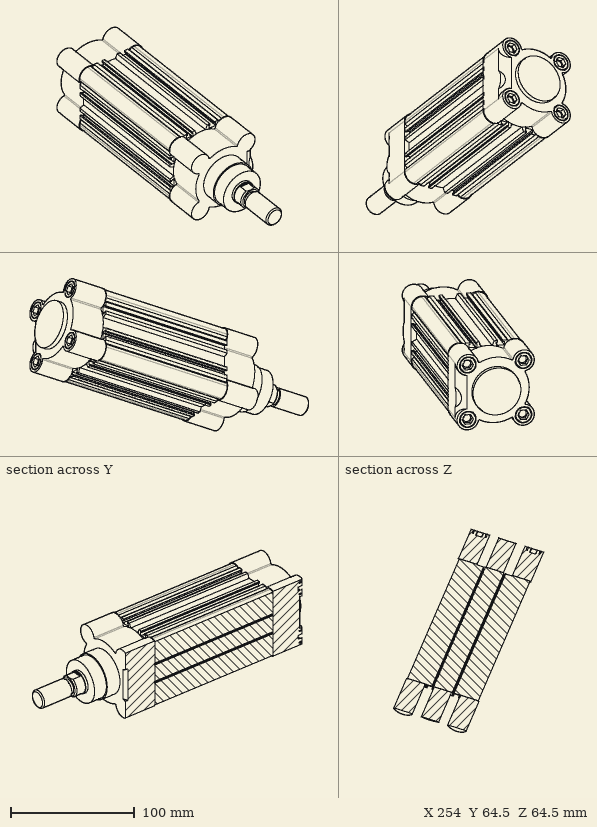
import cadquery as cq
import math

total_length = 254.0
spigot_length = 4.0
cap_length = 30.0
barrel_length = 121.0
barrel_start = spigot_length + cap_length
barrel_end = barrel_start + barrel_length
front_face = barrel_end + cap_length
middle_x = (barrel_start + barrel_end) / 2

corner_offset = 23.25
lobe_radius = 9.0
cap_half_width = corner_offset + lobe_radius
cap_radius = 28.0
lobe_blend_radius = 0.8
spigot_radius = 20.0

guide_length = 13.0
guide_nose_length = 12.0
guide_nose_radius = 18.75
nose_end = front_face + guide_length + guide_nose_length

pad_low_y = 24.0
pad_slope_length = 6.5
port_radius = 12.0
port_from_end = cap_length / 2
port_z = -5.7
port_root = 1.0

ring_outer_radius = 6.9
ring_inner_radius = 6.4
ring_depth = 3.0
socket_flats = 8.0
socket_depth = 4.0
drill_cone_radius = 3.2
drill_cone_depth = 2.0

barrel_half_width = 31.5
barrel_radius = 28.0
barrel_corner_start = 23.5
slot_floor = 27.4
slot_relief_floor = 26.4
slot_relief_edge = 9.3
lip_thickness = 1.4
lip_underside = barrel_half_width - lip_thickness
rib_root = 4.6
rib_edge = 6.3
slot_inner_wall = 8.2
slot_inner_lip = 9.1
slot_outer_lip = 13.7
slot_outer_wall = 14.8
groove_inner = 17.2
groove_bottom = 19.1
groove_outer = 21.1
groove_depth = 1.9

rod_radius = 10.0
shoulder_length = 2.2
flats_setback = 1.3
rod_shoulder = nose_end + shoulder_length
neck_end = 222.0
neck_radius = 9.4
neck_chamfer = 1.2
flats_across = 17.0
flats_start = rod_shoulder + flats_setback
undercut_end = 225.0
undercut_radius = 6.6
thread_radius = 8.0
thread_chamfer = 1.2


def disc(radius, start, length):
    """Cylinder along X."""
    return cq.Workplane("YZ", origin=(start, 0, 0)).circle(radius).extrude(length)


def corners():
    return [(y, z) for y in (-corner_offset, corner_offset) for z in (-corner_offset, corner_offset)]


def make_lobe(y, z):
    return disc(lobe_radius, spigot_length, cap_length).translate((0, y, z))


def make_port_side(cap):
    """Replace the +Y side of a cap by the sloped pad and its port boss."""
    trim_width = 2 * corner_offset
    trim = cq.Workplane("XY").box(
        cap_length, cap_half_width, trim_width, centered=(False, False, True)
    ).translate((spigot_length, pad_low_y, 0))
    pad = (
        cq.Workplane("XY", origin=(0, 0, -corner_offset))
        .moveTo(spigot_length, pad_low_y)
        .lineTo(spigot_length + pad_slope_length, cap_half_width)
        .lineTo(barrel_start, cap_half_width)
        .lineTo(barrel_start, pad_low_y)
        .close()
        .extrude(trim_width)
    )
    boss = (
        cq.Workplane("XZ", origin=(spigot_length + port_from_end, cap_half_width, port_z))
        .circle(port_radius)
        .extrude(cap_half_width - pad_low_y + port_root)
    )
    cap = cap.cut(trim).union(pad).union(boss)
    for z in (-corner_offset, corner_offset):
        cap = cap.union(make_lobe(corner_offset, z))
    return cap


def make_cap_body():
    """Rear-end cap body: disc, four lobes with blended valleys, and the port side."""
    cap = disc(cap_radius, spigot_length, cap_length)
    for y, z in corners():
        cap = cap.union(make_lobe(y, z))
    lobe_distance = math.hypot(corner_offset, corner_offset)
    along = (lobe_distance**2 + cap_radius**2 - lobe_radius**2) / (2 * lobe_distance)
    across = math.sqrt(cap_radius**2 - along**2)
    near = (along - across) / math.sqrt(2)
    far = (along + across) / math.sqrt(2)
    middle = spigot_length + cap_length / 2
    for sy in (-1, 1):
        for sz in (-1, 1):
            for y, z in ((near, far), (far, near)):
                point = (middle, sy * y, sz * z)
                cap = cap.edges(cq.selectors.NearestToPointSelector(point)).fillet(lobe_blend_radius)
    return make_port_side(cap)


def make_screw_recess(y, z):
    """Ring around the screw head, hexagon socket and its drill cone."""
    face = cq.Workplane("YZ", origin=(spigot_length, y, z))
    ring = face.circle(ring_outer_radius).circle(ring_inner_radius).extrude(ring_depth)
    socket = face.polygon(6, socket_flats / math.cos(math.pi / 6)).extrude(socket_depth)
    cone = cq.Workplane(cq.Solid.makeCone(
        drill_cone_radius, 0, drill_cone_depth,
        cq.Vector(spigot_length + socket_depth, y, z), cq.Vector(1, 0, 0),
    ))
    return socket.union(cone), ring


def make_rear_cap():
    cap = make_cap_body().union(disc(spigot_radius, 0, barrel_start))
    for y, z in corners():
        for recess in make_screw_recess(y, z):
            cap = cap.cut(recess)
    return cap


def make_front_cap():
    """Mirrored cap body with the rod guide and the bore for the rod."""
    cap = make_cap_body().mirror("YZ", (middle_x, 0, 0))
    cap = cap.union(disc(spigot_radius, barrel_end, cap_length + guide_length))
    cap = cap.union(disc(guide_nose_radius, barrel_end, nose_end - barrel_end))
    return cap.cut(disc(rod_radius, barrel_end, nose_end - barrel_end))


def make_barrel():
    rib_root_out = math.sqrt(barrel_radius**2 - rib_root**2)
    half_side = [
        (rib_root, rib_root_out),
        (rib_edge, barrel_half_width),
        (slot_inner_lip, barrel_half_width),
        (slot_inner_lip, lip_underside),
        (slot_inner_wall, lip_underside),
        (slot_inner_wall, slot_relief_floor),
        (slot_relief_edge, slot_relief_floor),
        (slot_relief_edge, slot_floor),
        (slot_outer_wall, slot_floor),
        (slot_outer_wall, lip_underside),
        (slot_outer_lip, lip_underside),
        (slot_outer_lip, barrel_half_width),
        (groove_inner, barrel_half_width),
        (groove_bottom, barrel_half_width - groove_depth),
        (groove_outer, barrel_half_width),
        (barrel_corner_start, barrel_half_width),
    ]
    corner_radius = barrel_half_width - barrel_corner_start
    corner_middle = barrel_corner_start + corner_radius / math.sqrt(2)

    def turned(point, quarter):
        across, out = point
        for _ in range(quarter):
            across, out = out, -across
        return across, out

    profile = cq.Workplane("YZ", origin=(barrel_start, 0, 0))
    profile = profile.moveTo(-rib_root, rib_root_out)
    for quarter in range(4):
        profile = profile.threePointArc(turned((0, barrel_radius), quarter), turned(half_side[0], quarter))
        for point in half_side[1:]:
            profile = profile.lineTo(*turned(point, quarter))
        profile = profile.threePointArc(
            turned((corner_middle, corner_middle), quarter),
            turned((barrel_half_width, barrel_corner_start), quarter),
        )
        for across, out in reversed(half_side[:-1]):
            profile = profile.lineTo(*turned((-across, out), quarter + 1))
    return profile.close().extrude(barrel_length)


def make_rod():
    rod = disc(rod_radius, barrel_end, rod_shoulder - barrel_end)
    neck = disc(neck_radius, rod_shoulder, neck_end - rod_shoulder).faces(">X").chamfer(neck_chamfer)
    for side in (-1, 1):
        cutter = cq.Workplane("XY").box(
            neck_end - flats_start, 2 * rod_radius, rod_radius, centered=(False, True, True)
        ).translate((flats_start, 0, side * (flats_across + rod_radius) / 2))
        neck = neck.cut(cutter)
    undercut = disc(undercut_radius, neck_end, undercut_end - neck_end)
    thread = disc(thread_radius, undercut_end, total_length - undercut_end)
    thread = thread.faces(">X").chamfer(thread_chamfer)
    return rod.union(neck).union(undercut).union(thread)


rear_cap = make_rear_cap()
barrel = make_barrel()
front_cap = make_front_cap()
rod = make_rod()

bodies = [rear_cap, barrel, front_cap, rod]
result = cq.Compound.makeCompound([body.solids().val() for body in bodies])